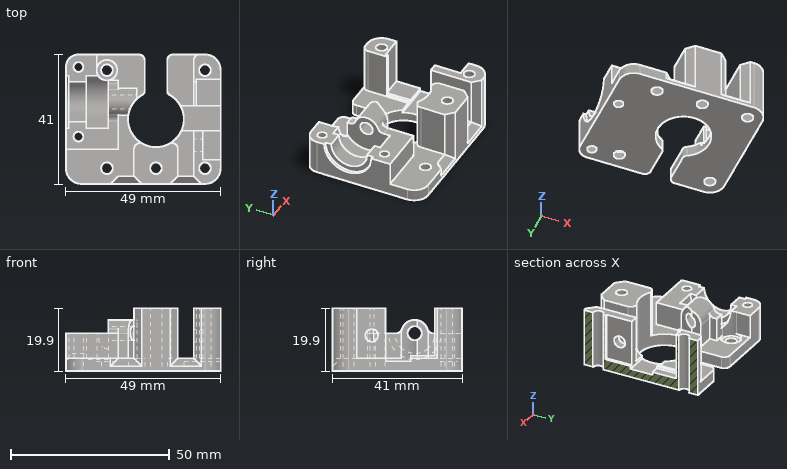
import cadquery as cq
import math


x_min, x_max = -28.5, 20.5
y_min, y_max = -20.5, 20.5
plate_top = 4.1
recess_depth = 1.0
corner_radius = 5.0
block_corner_radius = 4.0
motor_bore_radius = 8.8
slot_width = 7.0
slot_mouth_fillet = 2.0
slot_root_fillet = 1.5
screw_offset = 15.5
screw_hole_diameter = 3.6

total_height = 19.9
tower_half_width = 6.95
tower_back = -7.5
wall_left = 11.9
post_fillet = 2.0
notch_size = 2.5
idler_hole_y, idler_hole_z = -8.1, 11.3
idler_hole_diameter = 4.0

channel_front, channel_back = -3.7, 4.25
channel_floor = plate_top - recess_depth
front_pocket_left = 14.8
front_pocket_front = -12.8
back_pocket_left = 12.8
back_pocket_back = 12.7
sill_back = 11.8
sill_height = 0.7
sill_top = plate_top + sill_height

block_top = 12.0
block_right = -wall_left
block_front = -9.5
bearing_y = 5.5
bearing_radius = 8.3
relief_radius = 6.3
lip_depth = 1.0
bearing_left, bearing_right = -22.1, -15.15
sleeve_radius = 4.25
sleeve_right = -6.1
sleeve_blend = 2.0
filament_hole_diameter = 4.4
cap_screw_x = -24.5
cap_screw_spacing = 22.0
cap_screw_diameter = 3.0
screw_head_radius = 3.25
screw_head_floor = plate_top - recess_depth


def box(x0, x1, y0, y1, z0, z1):
    """Box between two opposite corners."""
    return cq.Workplane("XY").box(x1 - x0, y1 - y0, z1 - z0, centered=False).translate((x0, y0, z0))


def vertical_cylinder(x, y, radius, z0, z1):
    return cq.Workplane("XY", origin=(x, y, z0)).circle(radius).extrude(z1 - z0)


def bearing_axis_cylinder(radius, x0, x1):
    """Cylinder along X on the bearing axis."""
    return cq.Workplane("YZ", origin=(x0, bearing_y, block_top)).circle(radius).extrude(x1 - x0)


def outline_prism():
    """Full-height prism with the rounded outer outline of the part."""
    body = box(x_min, x_max, y_min, y_max, 0, total_height)
    body = body.edges("|Z and (>X or <Y)").fillet(corner_radius)
    return body.edges("|Z and <X and >Y").fillet(block_corner_radius)


def make_plate():
    """Plate with the motor bore and a slot from it to the +Y edge, slot corners rounded."""
    plate = box(x_min, x_max, y_min, y_max, 0, plate_top)
    half = slot_width / 2
    plate = plate.cut(box(-half, half, 0, y_max, 0, plate_top)).cut(motor_bore)
    pick = slot_root_fillet / 2
    root_y = math.sqrt(motor_bore_radius**2 - half**2)
    for x in (-half, half):
        for y, radius in ((y_max, slot_mouth_fillet), (root_y, slot_root_fillet)):
            corner = cq.selectors.BoxSelector((x - pick, y - pick, 0), (x + pick, y + pick, plate_top))
            plate = plate.edges(corner).fillet(radius)
    return plate


def make_tower():
    tower = box(-tower_half_width, tower_half_width, y_min, tower_back, 0, total_height)
    return tower.edges("|Z and >Y").fillet(post_fillet)


def make_side_posts():
    """Full-height wall along +X, cut down into two posts and a sill."""
    wall = box(wall_left, x_max, y_min, y_max, 0, total_height)
    wall = wall.edges("|Z and <X and >Y").fillet(post_fillet)
    wall = wall.cut(box(wall_left, x_max, channel_front, channel_back, plate_top, total_height))
    wall = wall.cut(box(wall_left, back_pocket_left, channel_back, sill_back, sill_top, total_height))
    wall = wall.cut(
        box(back_pocket_left, x_max, channel_back, back_pocket_back, plate_top, total_height)
    )
    wall = wall.cut(
        box(front_pocket_left, x_max, front_pocket_front, channel_front, plate_top, total_height)
    )
    idler_hole = (
        cq.Workplane("YZ", origin=(wall_left, idler_hole_y, idler_hole_z))
        .circle(idler_hole_diameter / 2)
        .extrude(front_pocket_left - wall_left)
    )
    return wall.cut(idler_hole)


def make_sleeve():
    """Ridge with a round top over the filament hole, blended into the top of the block."""
    ridge = bearing_axis_cylinder(sleeve_radius, bearing_right, sleeve_right)
    side_front, side_back = bearing_y - sleeve_radius, bearing_y + sleeve_radius
    ridge = ridge.union(box(bearing_right, sleeve_right, side_front, side_back, 0, block_top))

    reach = sleeve_radius + sleeve_blend
    blend_y = math.sqrt(reach**2 - sleeve_blend**2)
    tangent_y = blend_y * sleeve_radius / reach
    tangent_z = sleeve_blend * sleeve_radius / reach
    middle_angle = (math.pi / 2 + math.asin(sleeve_blend / reach)) / 2
    middle_y = blend_y - sleeve_blend * math.cos(middle_angle)
    middle_z = sleeve_blend * (1 - math.sin(middle_angle))
    blend = (
        cq.Workplane("YZ", origin=(bearing_right, bearing_y, block_top))
        .moveTo(-blend_y, 0)
        .threePointArc((-middle_y, middle_z), (-tangent_y, tangent_z))
        .threePointArc((0, sleeve_radius), (tangent_y, tangent_z))
        .threePointArc((middle_y, middle_z), (blend_y, 0))
        .close()
        .extrude(block_right - bearing_right)
    )
    return ridge.union(blend)


def make_bearing_block():
    """Solid L-shaped block whose inner corner is rounded around the screw head."""
    back_y = screw_offset - screw_head_radius
    leg_x = -screw_offset - screw_head_radius
    block = box(x_min, block_right, block_front, back_y, 0, block_top)
    block = block.union(box(x_min, leg_x, block_front, y_max, 0, block_top))
    return block.union(box(leg_x, -screw_offset, back_y, screw_offset, 0, block_top))


def bearing_seat():
    """Cutter for the stepped bore; it reaches down into the plate."""
    seat = bearing_axis_cylinder(relief_radius, x_min, bearing_left)
    seat = seat.union(bearing_axis_cylinder(bearing_radius, x_min, x_min + lip_depth))
    return seat.union(bearing_axis_cylinder(bearing_radius, bearing_left, bearing_right))


def notch(x0, x1):
    """Cutter for a gap in the front edge: flared 45 degree sides above a 45 degree sloping floor."""
    y_back = y_min + notch_size
    sides = (
        cq.Workplane("XY")
        .polyline([(x0, y_back), (x1, y_back), (x1 + notch_size, y_min), (x0 - notch_size, y_min)])
        .close()
        .extrude(total_height)
    )
    above_floor = (
        cq.Workplane("YZ", origin=(x0 - notch_size, 0, 0))
        .polyline(
            [
                (y_min, plate_top - notch_size),
                (y_back, plate_top),
                (y_back, total_height),
                (y_min, total_height),
            ]
        )
        .close()
        .extrude(x1 - x0 + 2 * notch_size)
    )
    return sides.intersect(above_floor)


motor_bore = vertical_cylinder(0, 0, motor_bore_radius, 0, total_height)

result = make_plate().union(make_bearing_block()).cut(bearing_seat()).union(make_sleeve())
result = result.cut(bearing_axis_cylinder(filament_hole_diameter / 2, x_min, sleeve_right))
result = result.union(make_tower()).union(make_side_posts())
result = result.intersect(outline_prism()).cut(motor_bore)

result = result.cut(notch(block_right, -tower_half_width))
result = result.cut(notch(tower_half_width, wall_left))
result = result.cut(box(0, x_max, channel_front, channel_back, channel_floor, plate_top))
result = result.cut(
    vertical_cylinder(-screw_offset, screw_offset, screw_head_radius, screw_head_floor, total_height)
)
for x, y in (
    (-screw_offset, -screw_offset),
    (-screw_offset, screw_offset),
    (screw_offset, -screw_offset),
    (screw_offset, screw_offset),
    (0, -screw_offset),
):
    result = result.cut(vertical_cylinder(x, y, screw_hole_diameter / 2, 0, total_height))
for side in (-1, 1):
    cap_screw_y = bearing_y + side * cap_screw_spacing / 2
    result = result.cut(vertical_cylinder(cap_screw_x, cap_screw_y, cap_screw_diameter / 2, 0, total_height))